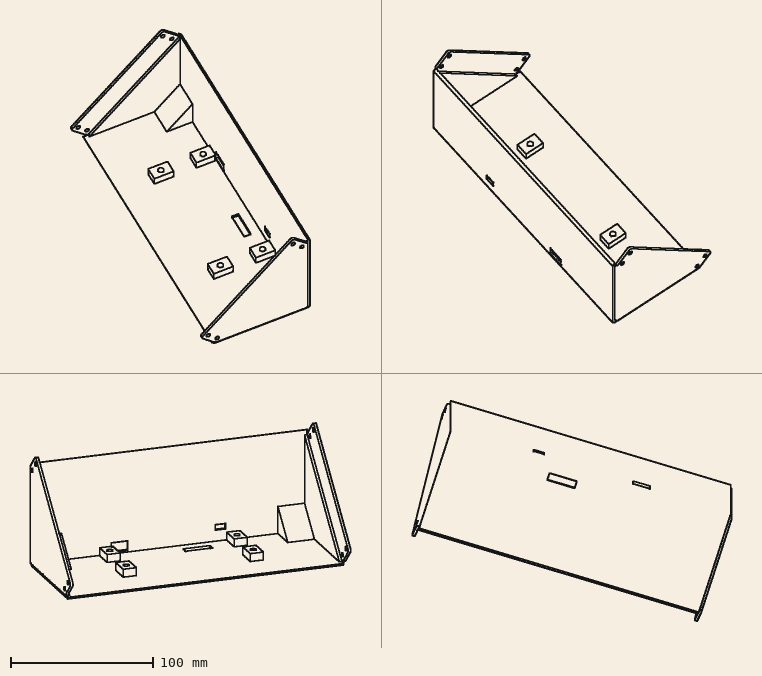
import cadquery as cq
import math

overall_length = 210.0
overall_depth = 85.5
sheet = 2.0

tray_length = overall_length - 2 * sheet
tray_leg = 75.0
tray_corner_radius = 2.0
end_wall_leg = 71.0

cheek_tip_radius = 2.0
cheek_edge_radius = 1.9
tip_offset = 14.3
cheek_hole_diameter = 3.0
outer_hole_near = 14.3
outer_hole_far = 80.6
hole_step = 7.0

block_length = 20.0
block_leg = 20.2

boss_width = 9.9
boss_depth = 15.1
boss_height = 5.9
boss_hole_diameter = 4.2
boss_columns_x = (-47.7, 47.5)
boss_rows_y = (-10.0, -43.0)

floor_slot_x, floor_slot_y = 17.5, -12.0
floor_slot_length, floor_slot_width = 20.2, 5.2
large_window_x, large_window_z = -37.4, 6.7
large_window_width, large_window_height = 12.4, 7.0
small_window_x, small_window_z = 38.2, 12.2
small_window_width, small_window_height = 7.8, 4.0


def extrude_along_x(outline, x_start, length):
    """Extrude a closed (y, z) outline towards +X, beginning at x_start."""
    return cq.Workplane("YZ", origin=(x_start, 0, 0)).polyline(outline).close().extrude(length)


def corner_triangle(leg, x_start, length):
    """Right-angled prism seated in the inner corner of floor and back wall."""
    outline = [(-sheet, sheet), (-sheet - leg, sheet), (-sheet, sheet + leg)]
    return extrude_along_x(outline, x_start, length)


def nearest_to(x, y, z):
    """Selector for the edge whose centre lies closest to a point."""
    return cq.selectors.NearestToPointSelector((x, y, z))


def make_shell():
    """L-shaped sheet whose free edges are cut at 45 degrees."""
    long_leg = tray_leg + sheet
    outline = [
        (0, 0),
        (-tray_leg, 0),
        (-long_leg, sheet),
        (-sheet, sheet),
        (-sheet, long_leg),
        (0, tray_leg),
    ]
    shell = extrude_along_x(outline, -tray_length / 2, tray_length)
    return shell.edges(nearest_to(0, 0, 0)).fillet(tray_corner_radius)


def make_bosses():
    """Four blocks on the floor, each with a hole down to the floor."""
    centres = [(x, y) for x in boss_columns_x for y in boss_rows_y]
    floor = cq.Workplane("XY", origin=(0, 0, sheet))
    blocks = floor.pushPoints(centres).rect(boss_width, boss_depth).extrude(boss_height)
    holes = floor.pushPoints(centres).circle(boss_hole_diameter / 2).extrude(boss_height)
    return blocks.cut(holes)


def make_openings():
    """Cutters for the floor slot and the two back wall windows."""
    through = 2 * sheet
    slot = cq.Workplane("XY").box(floor_slot_length, floor_slot_width, through)
    large = cq.Workplane("XY").box(large_window_width, through, large_window_height)
    small = cq.Workplane("XY").box(small_window_width, through, small_window_height)
    return (
        slot.translate((floor_slot_x, floor_slot_y, sheet / 2))
        .add(large.translate((large_window_x, -sheet / 2, large_window_z)))
        .add(small.translate((small_window_x, -sheet / 2, small_window_z)))
        .combine()
    )


def make_tray():
    """Shell closed by triangular end walls, with corner blocks, bosses and openings."""
    tray_start = -tray_length / 2
    left_wall = corner_triangle(end_wall_leg, tray_start, sheet)
    left_block = corner_triangle(block_leg, tray_start + sheet, block_length)
    left_corner = left_wall.union(left_block)
    tray = make_shell().union(left_corner).union(left_corner.mirror("YZ"))
    return tray.union(make_bosses()).cut(make_openings())


def make_left_cheek():
    """Flat triangular plate with clipped, rounded tips and two holes at each tip."""
    tip_reach = overall_depth + (math.sqrt(2) - 1) * cheek_tip_radius
    clipped_leg = tip_reach - tip_offset + sheet
    lower_tip = (-tip_reach, tip_offset)
    upper_tip = (-tip_offset, tip_reach)
    outline = [
        (-sheet, sheet),
        (-clipped_leg, sheet),
        lower_tip,
        upper_tip,
        (-sheet, clipped_leg),
    ]
    outer_x = -overall_length / 2
    middle_x = outer_x + sheet / 2
    cheek = extrude_along_x(outline, outer_x, sheet)
    for y, z in (lower_tip, upper_tip):
        cheek = cheek.edges(nearest_to(middle_x, y, z)).fillet(cheek_tip_radius)

    leg_middle = (sheet + clipped_leg) / 2
    corner = cheek.edges(nearest_to(middle_x, -sheet, sheet))
    bottom_edge = cheek.edges(nearest_to(outer_x, -leg_middle, sheet))
    back_edge = cheek.edges(nearest_to(outer_x, -sheet, leg_middle))
    cheek = corner.add(bottom_edge).add(back_edge).fillet(cheek_edge_radius)

    near, far = outer_hole_near, outer_hole_far
    inner_near, inner_far = near - hole_step, far - hole_step
    hole_centres = [(-near, far), (-inner_near, inner_far), (-far, near), (-inner_far, inner_near)]
    holes = (
        cq.Workplane("YZ", origin=(outer_x, 0, 0))
        .pushPoints(hole_centres)
        .circle(cheek_hole_diameter / 2)
        .extrude(sheet)
    )
    return cheek.cut(holes)


tray = make_tray()
left_cheek = make_left_cheek()
right_cheek = left_cheek.mirror("YZ")

result = cq.Compound.makeCompound([tray.val(), left_cheek.val(), right_cheek.val()])